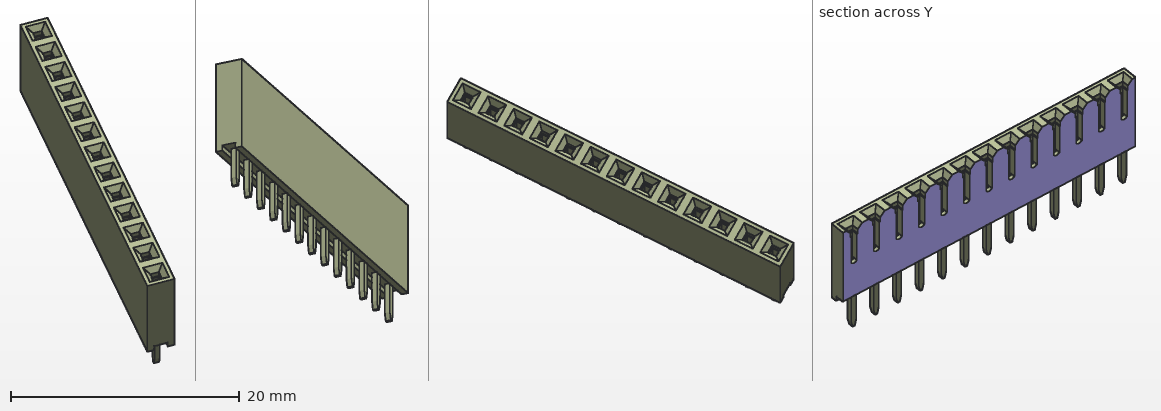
import cadquery as cq

pitch = 2.54
position_count = 13
total_height = 11.5

housing_length = pitch * position_count
housing_width = pitch
housing_height = 8.5

channel_width = 1.27
channel_depth = 0.5

mouth_size = 1.8
throat_size = 0.8
funnel_depth = (mouth_size - throat_size) / 2
throat_depth = 1.0
well_size = 0.6
well_depth = 4.0

step_width = 0.2
trough_half_width = well_size / 2
trough_depth = 0.15
trough_length = well_size - step_width

pin_width = 0.6
pin_thickness = 0.5
pin_length = total_height - housing_height
tip_width = 0.25
tip_length = 0.7

pin_row_start = -(position_count - 1) / 2 * pitch


def square_prism(size, top, bottom):
    """Square prism centred on the Z axis between two heights."""
    return cq.Workplane("XY", origin=(0, 0, bottom)).rect(size, size).extrude(top - bottom)


def make_housing():
    """Rectangular block standing on Z = 0, with a full-length channel underneath."""
    base = cq.Workplane("XY")
    block = base.rect(housing_length, housing_width).extrude(housing_height)
    channel = base.rect(housing_length, channel_width).extrude(channel_depth)
    return block.cut(channel)


def make_socket():
    """Cutter for one blind socket, centred on the Z axis."""
    throat_top = housing_height - funnel_depth
    throat_bottom = housing_height - throat_depth
    well_bottom = housing_height - well_depth
    funnel = (
        cq.Workplane("XY", origin=(0, 0, housing_height))
        .rect(mouth_size, mouth_size)
        .workplane(offset=-funnel_depth)
        .rect(throat_size, throat_size)
        .loft(ruled=True)
    )
    throat = square_prism(throat_size, throat_top, throat_bottom)
    well = square_prism(well_size, throat_bottom, well_bottom)
    trough = (
        cq.Workplane("XZ", origin=(0, well_size / 2 - step_width, well_bottom))
        .moveTo(-trough_half_width, 0)
        .threePointArc((0, -trough_depth), (trough_half_width, 0))
        .close()
        .extrude(trough_length)
    )
    return funnel.union(throat).union(well).union(trough)


def make_pin():
    """Flat solder pin rooted in the channel roof, with a tip tapered across its width."""
    half_width = pin_width / 2
    half_tip = tip_width / 2
    taper_start = tip_length - pin_length
    return (
        cq.Workplane("XZ")
        .moveTo(-half_width, channel_depth)
        .lineTo(-half_width, taper_start)
        .lineTo(-half_tip, -pin_length)
        .lineTo(half_tip, -pin_length)
        .lineTo(half_width, taper_start)
        .lineTo(half_width, channel_depth)
        .close()
        .extrude(pin_thickness / 2, both=True)
    )


result = make_housing()
socket = make_socket()
pin = make_pin()
for position in range(position_count):
    offset = (pin_row_start + position * pitch, 0, 0)
    result = result.cut(socket.translate(offset)).union(pin.translate(offset))